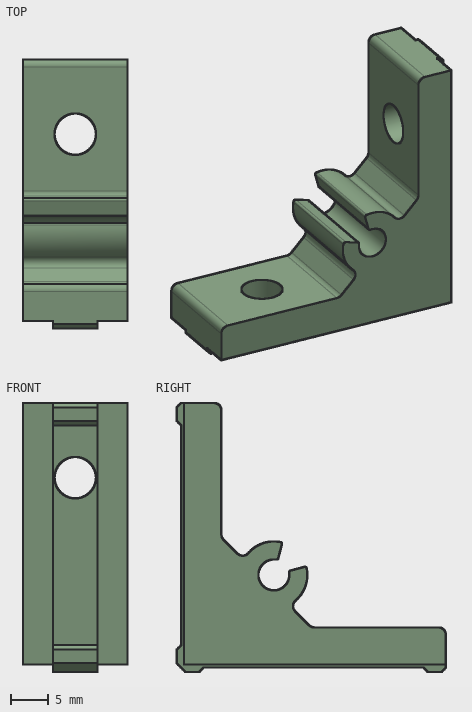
import cadquery as cq
import math

width = 14.0
leg_length = 35.0
leg_thickness = 5.0
tip_radius = 1.0

gusset_reach = 17.0
gusset_radius = 1.0

clip_center = 12.0
clip_outer_radius = 4.5
clip_bore_radius = 2.05
clip_neck_radius = 1.0
clip_opening_angle = 60.0
clip_opening_direction = 45.0
clip_tip_radius = 0.3

hole_diameter = 5.5
hole_position = 25.0

key_width = 6.0
key_height = 1.0
strip_height = 0.4
lug_length = 3.0
corner_lug_end = 2.6
corner_chamfer = 1.2

lug_rise = key_height - strip_height
low_tip_angle = clip_opening_direction - clip_opening_angle / 2
high_tip_angle = clip_opening_direction + clip_opening_angle / 2


def extrude_along_x(profile, length):
    """Extrude a closed YZ profile symmetrically about X = 0."""
    return profile.extrude(length / 2, both=True)


def fillet_edges(body, points, radius):
    """Fillet the X-parallel edges nearest to the given (y, z) points."""
    for y, z in points:
        body = body.edges(cq.selectors.NearestToPointSelector((0, y, z))).fillet(radius)
    return body


def mirrored(points):
    """Add to each (y, z) point its mirror image across the plane Y = Z."""
    return points + [(z, y) for y, z in points]


def make_legs():
    """L-shaped body with its gusset, rounded leg tips and blended gusset ends."""
    outline = [
        (0, 0),
        (leg_length, 0),
        (leg_length, leg_thickness),
        (gusset_reach, leg_thickness),
        (leg_thickness, gusset_reach),
        (leg_thickness, leg_length),
        (0, leg_length),
    ]
    legs = extrude_along_x(cq.Workplane("YZ").polyline(outline).close(), width)
    legs = fillet_edges(legs, mirrored([(leg_length, leg_thickness)]), tip_radius)
    return fillet_edges(legs, mirrored([(gusset_reach, leg_thickness)]), gusset_radius)


def clip_point(radius, angle):
    """Point at a polar position about the clip axis, angle in degrees from +Y."""
    turn = math.radians(angle)
    return clip_center + radius * math.cos(turn), clip_center + radius * math.sin(turn)


def add_clip(body):
    """Add the C-shaped clip, open along the diagonal away from the corner."""
    axis = cq.Workplane("YZ").center(clip_center, clip_center)
    body = body.union(extrude_along_x(axis.circle(clip_outer_radius), width))

    face_offset = (2 * clip_center - gusset_reach - leg_thickness) / math.sqrt(2)
    neck_angle = clip_opening_direction + 90 + math.degrees(math.asin(face_offset / clip_outer_radius))
    body = fillet_edges(body, mirrored([clip_point(clip_outer_radius, neck_angle)]), clip_neck_radius)

    body = body.cut(extrude_along_x(axis.circle(clip_bore_radius), width))
    reach = 2 * clip_outer_radius
    opening = [
        (clip_center, clip_center),
        clip_point(reach, low_tip_angle),
        clip_point(reach, high_tip_angle),
    ]
    body = body.cut(extrude_along_x(cq.Workplane("YZ").polyline(opening).close(), width))
    tips = [clip_point(radius, low_tip_angle) for radius in (clip_bore_radius, clip_outer_radius)]
    return fillet_edges(body, mirrored(tips), clip_tip_radius)


def make_key():
    """Key strip with its lugs, overlapping the body up to its outer faces."""
    lug_start = leg_length - lug_length
    chamfer_start = corner_chamfer - key_height
    half = [
        (chamfer_start, -key_height),
        (corner_lug_end - lug_rise, -key_height),
        (corner_lug_end, -strip_height),
        (lug_start, -strip_height),
        (lug_start + lug_rise, -key_height),
        (leg_length - lug_rise, -key_height),
        (leg_length, -strip_height),
        (leg_length, 0),
    ]
    other_half = [(z, y) for y, z in reversed(half)]
    outline = half + [(0, 0)] + other_half
    return extrude_along_x(cq.Workplane("YZ").polyline(outline).close(), key_width)


def cut_holes(body):
    """Drill one screw hole through each leg and the key strip below it."""
    radius = hole_diameter / 2
    depth = leg_thickness + key_height
    y_axis = cq.Vector(0, 1, 0)
    z_axis = cq.Vector(0, 0, 1)
    for leg_axis, hole_axis in ((y_axis, z_axis), (z_axis, y_axis)):
        start = leg_axis * hole_position - hole_axis * key_height
        drill = cq.Solid.makeCylinder(radius, depth, start, hole_axis)
        body = body.cut(cq.Workplane(drill))
    return body


bracket = add_clip(make_legs()).union(make_key())
result = cut_holes(bracket)